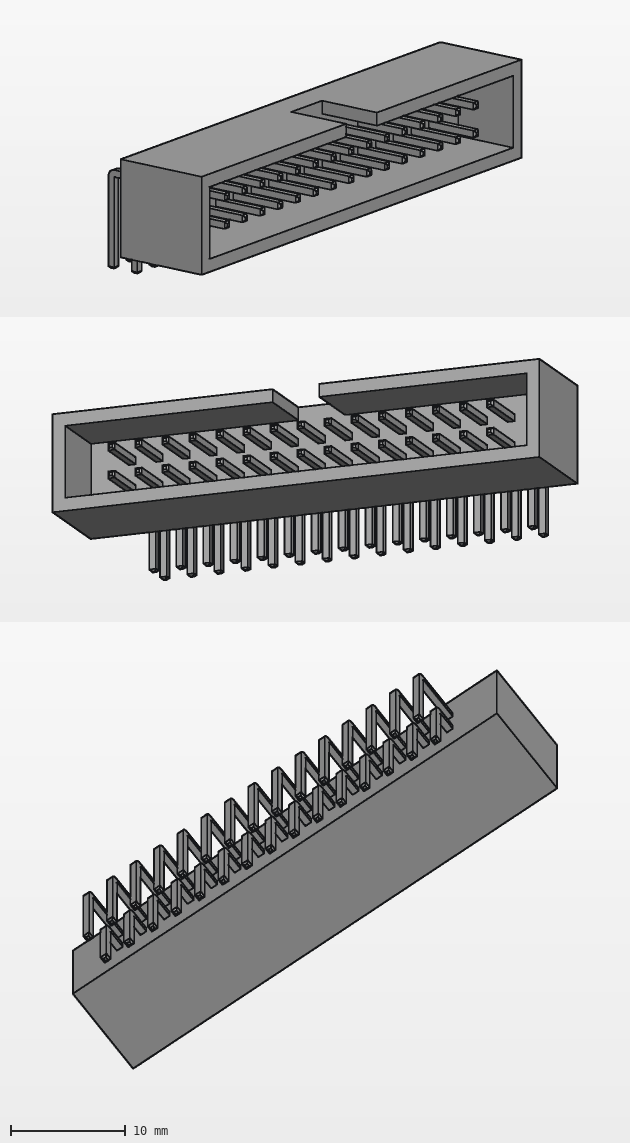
import cadquery as cq


body_length = 45.7
body_depth = 8.9
body_height = 8.9
wall = 1.2
cavity_depth = 6.05
notch_width = 4.4

pins_per_row = 15
row_length = 35.55
pitch = row_length / (pins_per_row - 1)
pin_width = 0.65
tip_length = 0.2
tip_inset = 0.2
tip_recess = 0.95
tail_reach = 5.0
tail_drop = 2.95

half_pin = pin_width / 2
opening_x = body_depth
cavity_floor_x = opening_x - cavity_depth
mating_tip_x = opening_x - tip_recess
tail_tip_z = -body_height / 2 - tail_drop


def make_shroud():
    """Block with a cavity open toward +X and a notch through its top wall."""
    block = cq.Workplane("XY").box(body_depth, body_length, body_height, centered=(False, True, True))
    cavity = (
        cq.Workplane("XY")
        .box(cavity_depth, body_length - 2 * wall, body_height - 2 * wall, centered=(False, True, True))
        .translate((cavity_floor_x, 0, 0))
    )
    notch = (
        cq.Workplane("XY")
        .box(cavity_depth, notch_width, body_height / 2, centered=(False, True, False))
        .translate((cavity_floor_x, 0, 0))
    )
    return block.cut(cavity).cut(notch)


def make_tip(end_plane):
    """Short square taper growing out of a pin end along the plane's normal."""
    tip_width = pin_width - 2 * tip_inset
    return (
        cq.Workplane(end_plane)
        .rect(pin_width, pin_width)
        .workplane(offset=tip_length)
        .rect(tip_width, tip_width)
        .loft(ruled=True)
    )


def make_pin(tail_x, pin_z):
    """L-shaped pin at Y = 0: level through the shroud at pin_z, its tail dropping at tail_x."""
    mating_end_x = mating_tip_x - tip_length
    tail_end_z = tail_tip_z + tip_length
    rear_x = tail_x - half_pin
    inner_x = tail_x + half_pin
    top_z = pin_z + half_pin
    under_z = pin_z - half_pin
    bent_bar = (
        cq.Workplane("XZ")
        .moveTo(mating_end_x, top_z)
        .lineTo(inner_x, top_z)
        .radiusArc((rear_x, under_z), -pin_width)
        .lineTo(rear_x, tail_end_z)
        .lineTo(inner_x, tail_end_z)
        .lineTo(inner_x, under_z)
        .lineTo(mating_end_x, under_z)
        .close()
        .extrude(half_pin, both=True)
    )
    mating_plane = cq.Plane(origin=(mating_end_x, 0, pin_z), xDir=(0, 1, 0), normal=(1, 0, 0))
    tail_plane = cq.Plane(origin=(tail_x, 0, tail_end_z), xDir=(1, 0, 0), normal=(0, 0, -1))
    return bent_bar.union(make_tip(mating_plane)).union(make_tip(tail_plane))


upper_tail_x = half_pin - tail_reach
upper_pin = make_pin(upper_tail_x, pitch / 2)
lower_pin = make_pin(upper_tail_x + pitch, -pitch / 2)

result = make_shroud()
for index in range(pins_per_row):
    pin_y = index * pitch - row_length / 2
    for pin in (upper_pin, lower_pin):
        result = result.union(pin.translate((0, pin_y, 0)))